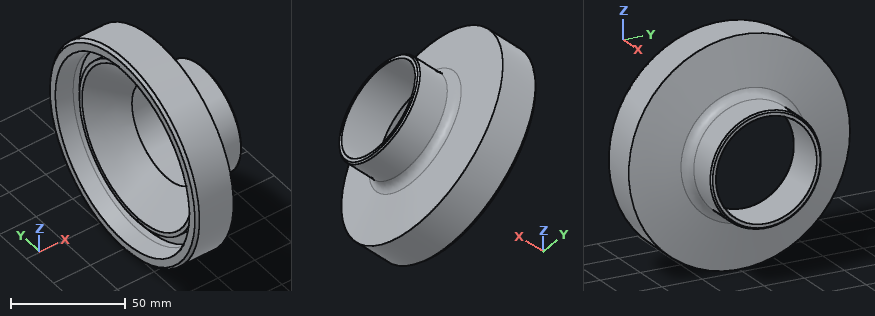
import cadquery as cq
import math

total_length = 45.0
flange_width = 20.0
rim_chamfer = 1.4
hub_chamfer = 0.8

flange_radius = 110 / 2
hub_radius = 55 / 2
back_slope = 10
neck_fillet = 4.7

mouth_radius = 99 / 2
socket_radius = 94.8 / 2
socket_depth = 8.0
lip_radius = 85.0 / 2
funnel_radius = 81.0 / 2
lip_depth = 7.9
groove_depth = 11.5
bore_radius = 50.0 / 2
funnel_end = 23.6

neck_x = flange_width + (flange_radius - hub_radius) * math.tan(math.radians(back_slope))


def revolve_about_x(points):
    profile = cq.Workplane("XY").polyline(points).close()
    return profile.revolve(360, (0, 0, 0), (1, 0, 0))


outside = revolve_about_x([
    (0, 0),
    (0, flange_radius - rim_chamfer),
    (rim_chamfer, flange_radius),
    (flange_width, flange_radius),
    (neck_x, hub_radius),
    (total_length - hub_chamfer, hub_radius),
    (total_length, hub_radius - hub_chamfer),
    (total_length, 0),
])

inside = revolve_about_x([
    (0, 0),
    (0, mouth_radius),
    (socket_depth, socket_radius),
    (groove_depth, socket_radius),
    (groove_depth, lip_radius),
    (lip_depth, lip_radius),
    (lip_depth, funnel_radius),
    (funnel_end, bore_radius),
    (total_length, bore_radius),
    (total_length, 0),
])

margin = 0.1
neck_reach = hub_radius + margin
neck_selector = cq.selectors.BoxSelector(
    (neck_x - margin, -neck_reach, -neck_reach),
    (neck_x + margin, neck_reach, neck_reach),
    boundingbox=True,
)
outside = outside.edges(neck_selector).fillet(neck_fillet)

result = outside.cut(inside)